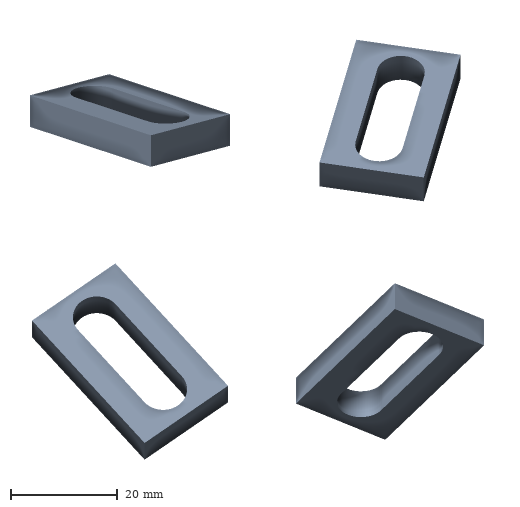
import cadquery as cq

plate_length = 34.0
plate_width = 20.0
plate_thickness = 6.2

slot_width = 9.0
slot_center_distance = 20.0
slot_length = slot_center_distance + slot_width


def make_plate():
    """Plain plate resting on the XY plane."""
    return cq.Workplane("XY").box(
        plate_length, plate_width, plate_thickness, centered=(True, True, False)
    )


def cut_slot(plate):
    """Cut the slot through the full plate thickness."""
    return plate.faces(">Z").workplane().slot2D(slot_length, slot_width).cutThruAll()


result = cut_slot(make_plate())